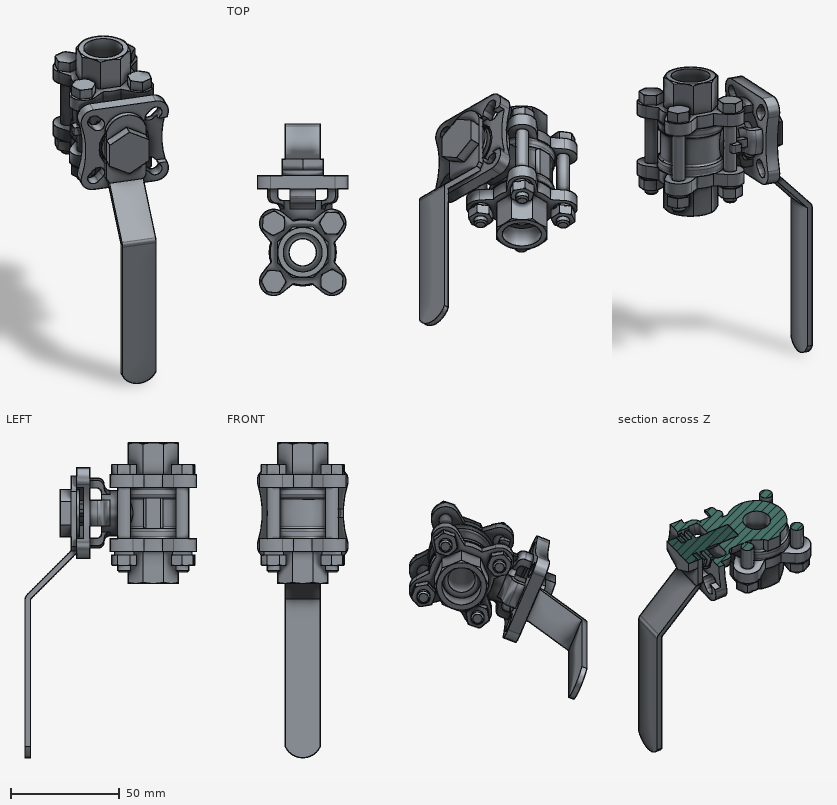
import cadquery as cq
import math


valve_length = 65.0
bore_diameter = 12.5
socket_diameter = 18.0
socket_depth = 10.0
octagon_flats = 23.2
octagon_end_radius = 11.5
octagon_chamfer_angle = 30.0

plate_inner_z = 11.75
plate_thickness = 6.0
plate_disc_radius = 15.0
plate_notch_half_width = 4.25
lug_radius = 6.5
bolt_offset = 13.45

barrel_radius = 14.1
barrel_half_length = 6.2
barrel_fillet = 0.9
collar_radius = 15.25
collar_chamfer_start_radius = barrel_radius + barrel_fillet
collar_start_z = barrel_half_length + barrel_fillet
collar_chamfer_end_z = 8.5
rim_start_z = 10.8
rim_radius = 15.5

label_pad_x = -15.0
label_pad_root_x = -13.0
label_pad_half_width = 3.3
label_pad_root_half_width = 4.8

bolt_diameter = 6.0
bolt_hex_flats = 10.0
bolt_hex_height = 4.8
bolt_hex_tilt = -2.5
bolt_hex_end_radius = 5.4
washer_diameter = 9.0
washer_thickness = 1.6
bolt_end_z = -27.2
bolt_end_chamfer = 0.8

neck_radius = 10.5
neck_face_y = 24.0
pad_y = 29.3
pad_thickness = 6.1
pad_outer_y = pad_y + pad_thickness
pad_half_size = 21.0
pad_corner_radius = 6.0
pad_waist = 18.75
pad_corner_offset = pad_half_size - pad_corner_radius
slot_width = 6.0
slot_inner_radius = 18.0
slot_outer_radius = 21.0
pad_hole_radius = 12.3
recess_half_width = 11.8
recess_depth = 3.1
recess_floor_y = pad_outer_y - recess_depth

arm_width = 12.0
arm_outer_radius = 16.2
arm_inner_radius = 13.0
arm_outer_bend = 3.0
arm_inner_bend = 2.0
arm_shoulder_y = 22.7
arm_foot_y = 20.05

tab_thickness = 4.0
tab_top_y = 22.5
tab_step_x = 13.6
tab_step_y = 16.5
tab_tip_x = 18.9
tab_tip_radius = 1.5
tab_root_x = 8.0
tab_root_y = 12.0

lever_thickness = 2.6
lever_width = 16.2
lever_outer_y = 59.26
lever_end_z = -112.96
lever_end_sagitta = 5.2
lever_bend_radius = 3.0
lever_bend_z = -17.4
lever_head_width = 19.0
lever_head_top_z = 17.2
lever_head_shoulder_z = 10.0
lever_head_bottom_z = -15.4

stem_radius = 4.5
stem_inner_y = 13.0
base_disc_radius = 11.4
base_disc_y = 30.3
gland_half_diagonal = 5.8
gland_top_y = 34.0
stop_disc_radius = 11.0
nut_flats = 19.0
nut_height = 5.0

lever_face_y = pad_outer_y + lever_thickness
plate_outer_z = plate_inner_z + plate_thickness
bolt_places = [
    (-bolt_offset, -bolt_offset, 0),
    (bolt_offset, -bolt_offset, 90),
    (bolt_offset, bolt_offset, 180),
    (-bolt_offset, bolt_offset, 270),
]


def plane_xz(y):
    """Sketch plane at y with local axes +X and +Z; negative extrusions go toward +Y."""
    return cq.Workplane(cq.Plane(origin=(0, y, 0), xDir=(1, 0, 0), normal=(0, -1, 0)))


def cylinder_y(radius, y0, y1):
    """Round bar about the stem axis from y0 to y1."""
    return plane_xz(y0).circle(radius).extrude(y0 - y1)


def make_barrel():
    """Barrel between the end plates, turned about Z and mirrored about z = 0."""
    arc_middle = barrel_fillet * math.sqrt(0.5)
    upper = (
        cq.Workplane("XZ")
        .lineTo(barrel_radius, 0)
        .lineTo(barrel_radius, barrel_half_length)
        .threePointArc(
            (barrel_radius + barrel_fillet - arc_middle, barrel_half_length + arc_middle),
            (collar_chamfer_start_radius, collar_start_z),
        )
        .lineTo(collar_radius, collar_chamfer_end_z)
        .lineTo(collar_radius, rim_start_z)
        .lineTo(rim_radius, plate_inner_z)
        .lineTo(0, plate_inner_z)
        .close()
        .revolve(360, (0, 0), (0, 1))
    )
    label_pad = (
        cq.Workplane("XY")
        .workplane(offset=-collar_start_z)
        .polyline([
            (label_pad_root_x, label_pad_root_half_width),
            (label_pad_x, label_pad_half_width),
            (label_pad_x, -label_pad_half_width),
            (label_pad_root_x, -label_pad_root_half_width),
        ])
        .close()
        .extrude(2 * collar_start_z)
    )
    return upper.union(upper.mirror("XY")).union(label_pad)


def lug_tangent_point():
    """Point on the (+X, +Y) lug where the flank from the disc meets it tangentially."""
    start_x = math.sqrt(plate_disc_radius**2 - plate_notch_half_width**2)
    dx = start_x - bolt_offset
    dy = plate_notch_half_width - bolt_offset
    angle = math.atan2(dy, dx) + math.acos(lug_radius / math.hypot(dx, dy))
    return (bolt_offset + lug_radius * math.cos(angle), bolt_offset + lug_radius * math.sin(angle))


def make_end_plate(z):
    """Round plate with four lugs on straight flanks."""
    disc_x = math.sqrt(plate_disc_radius**2 - plate_notch_half_width**2)
    tangent_x, tangent_y = lug_tangent_point()
    base = cq.Workplane("XY").workplane(offset=z)
    plate = base.circle(plate_disc_radius).extrude(plate_thickness)
    lug = (
        base.polyline([
            (0, 0),
            (disc_x, plate_notch_half_width),
            (tangent_x, tangent_y),
            (bolt_offset, bolt_offset),
            (tangent_y, tangent_x),
            (plate_notch_half_width, disc_x),
        ])
        .close()
        .extrude(plate_thickness)
        .union(base.center(bolt_offset, bolt_offset).circle(lug_radius).extrude(plate_thickness))
    )
    for angle in (0, 90, 180, 270):
        plate = plate.union(lug.rotate((0, 0, 0), (0, 0, 1), angle))
    return plate


def make_octagon_ends():
    """Octagonal bar over the full length, corners rounded off at both ends."""
    half_length = valve_length / 2
    across_corners = octagon_flats / math.cos(math.pi / 8)
    cone_middle_radius = octagon_end_radius + half_length / math.tan(math.radians(octagon_chamfer_angle))
    bar = (
        cq.Workplane("XY")
        .workplane(offset=-half_length)
        .polygon(8, across_corners)
        .extrude(valve_length)
        .rotate((0, 0, 0), (0, 0, 1), 22.5)
    )
    double_cone = (
        cq.Workplane("XZ")
        .moveTo(0, -half_length)
        .lineTo(octagon_end_radius, -half_length)
        .lineTo(cone_middle_radius, 0)
        .lineTo(octagon_end_radius, half_length)
        .lineTo(0, half_length)
        .close()
        .revolve(360, (0, 0), (0, 1))
    )
    return bar.intersect(double_cone)


def make_bolt_hexagon():
    """Bolt hexagon standing on z = 0 with its upper corners rounded off."""
    across_corners = bolt_hex_flats / math.cos(math.pi / 6)
    cone = (
        cq.Workplane("XZ")
        .lineTo(bolt_hex_end_radius + bolt_hex_height, 0)
        .lineTo(bolt_hex_end_radius, bolt_hex_height)
        .lineTo(0, bolt_hex_height)
        .close()
        .revolve(360, (0, 0), (0, 1))
    )
    return cq.Workplane("XY").polygon(6, across_corners).extrude(bolt_hex_height).intersect(cone)


def make_bolt():
    """Bolt on the Z axis: head above the upper plate, washer and nut below the lower one."""
    shank = (
        cq.Workplane("XY")
        .workplane(offset=bolt_end_z)
        .circle(bolt_diameter / 2)
        .extrude(plate_outer_z - bolt_end_z)
        .faces("<Z")
        .chamfer(bolt_end_chamfer)
    )
    washer = (
        cq.Workplane("XY")
        .workplane(offset=-plate_outer_z)
        .circle(washer_diameter / 2)
        .extrude(-washer_thickness)
    )
    head = make_bolt_hexagon().translate((0, 0, plate_outer_z))
    nut = make_bolt_hexagon().mirror("XY").translate((0, 0, -plate_outer_z - washer_thickness))
    return shank.union(washer).union(head).union(nut).rotate((0, 0, 0), (0, 0, 1), bolt_hex_tilt)


def make_arms():
    """Four bent arms from the neck to the pad, cut out of one turned bell."""
    inner_bend_y = neck_face_y + arm_inner_bend
    outer_bend_y = arm_shoulder_y + arm_outer_bend
    shoulder_radius = arm_outer_radius - arm_outer_bend
    foot_bend = arm_shoulder_y - arm_foot_y
    foot_radius = shoulder_radius - foot_bend
    diagonal = math.sqrt(0.5)
    bell = (
        cq.Workplane("XY")
        .moveTo(stem_radius, neck_face_y)
        .lineTo(arm_inner_radius - arm_inner_bend, neck_face_y)
        .threePointArc(
            (arm_inner_radius - arm_inner_bend * (1 - diagonal), inner_bend_y - arm_inner_bend * diagonal),
            (arm_inner_radius, inner_bend_y),
        )
        .lineTo(arm_inner_radius, pad_y)
        .lineTo(arm_outer_radius, pad_y)
        .lineTo(arm_outer_radius, outer_bend_y)
        .threePointArc(
            (shoulder_radius + arm_outer_bend * diagonal, outer_bend_y - arm_outer_bend * diagonal),
            (shoulder_radius, arm_shoulder_y),
        )
        .threePointArc(
            (shoulder_radius - foot_bend * diagonal, arm_foot_y + foot_bend * diagonal),
            (foot_radius, arm_foot_y),
        )
        .lineTo(stem_radius, arm_foot_y)
        .close()
        .revolve(360, (0, 0), (0, 1))
    )
    reach = 2 * pad_half_size
    cross = (
        plane_xz(0)
        .rect(reach, arm_width)
        .extrude(-pad_y)
        .union(plane_xz(0).rect(arm_width, reach).extrude(-pad_y))
    )
    return bell.intersect(cross)


def make_pad():
    """Square mounting pad: waisted sides, diagonal slots, round hole and a recess open at -X."""
    corner = pad_corner_offset
    gap = corner + pad_corner_radius - pad_waist
    waist_radius = (corner**2 + (pad_waist - corner)**2 - pad_corner_radius**2) / (2 * gap)
    waist_centre = pad_waist + waist_radius
    share = pad_corner_radius / (pad_corner_radius + waist_radius)
    touch_x = corner + share * (waist_centre - corner)
    touch_z = corner * (1 - share)
    bulge = pad_corner_radius * math.sqrt(0.5)
    pad = (
        plane_xz(pad_y)
        .moveTo(-corner, pad_half_size)
        .lineTo(corner, pad_half_size)
        .threePointArc((corner + bulge, corner + bulge), (touch_x, touch_z))
        .threePointArc((pad_waist, 0), (touch_x, -touch_z))
        .threePointArc((corner + bulge, -corner - bulge), (corner, -pad_half_size))
        .lineTo(-corner, -pad_half_size)
        .threePointArc((-corner - bulge, -corner - bulge), (-touch_x, -touch_z))
        .threePointArc((-pad_waist, 0), (-touch_x, touch_z))
        .threePointArc((-corner - bulge, corner + bulge), (-corner, pad_half_size))
        .close()
        .extrude(-pad_thickness)
    )
    slot_centre = (slot_inner_radius + slot_outer_radius) / 2
    slot_length = slot_outer_radius - slot_inner_radius + slot_width
    for angle in (45, 135, 225, 315):
        slot = (
            plane_xz(pad_y)
            .center(slot_centre, 0)
            .slot2D(slot_length, slot_width)
            .extrude(-pad_thickness)
            .rotate((0, 0, 0), (0, 1, 0), angle)
        )
        pad = pad.cut(slot)
    side_opening = (
        plane_xz(recess_floor_y)
        .center(-pad_half_size / 2, 0)
        .rect(pad_half_size, 2 * recess_half_width)
        .extrude(-recess_depth)
    )
    return pad.cut(cylinder_y(pad_hole_radius, pad_y, pad_outer_y)).cut(side_opening)


def make_side_tab():
    """Thin stepped tab on the +X side of the neck."""
    tip_bulge = tab_tip_radius * math.sqrt(0.5)
    return (
        cq.Workplane("XY")
        .workplane(offset=-tab_thickness / 2)
        .moveTo(tab_root_x, tab_root_y)
        .lineTo(tab_root_x, tab_top_y)
        .lineTo(tab_step_x, tab_top_y)
        .lineTo(tab_step_x, tab_step_y)
        .lineTo(tab_tip_x, tab_step_y)
        .lineTo(tab_tip_x, tab_root_y + tab_tip_radius)
        .threePointArc(
            (tab_tip_x - tab_tip_radius + tip_bulge, tab_root_y + tab_tip_radius - tip_bulge),
            (tab_tip_x - tab_tip_radius, tab_root_y),
        )
        .close()
        .extrude(tab_thickness)
    )


def make_valve():
    """Barrel, ends, bolts, neck and pad as one solid, with the bore, sockets and stem hole."""
    valve = make_barrel().union(make_octagon_ends())
    valve = valve.union(make_end_plate(plate_inner_z)).union(make_end_plate(-plate_outer_z))
    valve = valve.union(cylinder_y(neck_radius, 0, neck_face_y))
    valve = valve.union(make_arms()).union(make_pad()).union(make_side_tab())
    bolt = make_bolt()
    for x, y, angle in bolt_places:
        valve = valve.union(bolt.rotate((0, 0, 0), (0, 0, 1), angle).translate((x, y, 0)))
    valve = valve.cut(cq.Workplane("XY").circle(bore_diameter / 2).extrude(valve_length / 2, both=True))
    for end in (-1, 1):
        socket = (
            cq.Workplane("XY")
            .workplane(offset=end * valve_length / 2)
            .circle(socket_diameter / 2)
            .extrude(-end * socket_depth)
        )
        valve = valve.cut(socket)
    return valve.cut(cylinder_y(stem_radius, stem_inner_y, pad_outer_y))


def make_lever():
    """Cranked strip: flat head on the pad, 45 degree crank, straight grip."""
    run = lever_outer_y - lever_face_y
    inner_shift = lever_thickness * math.tan(math.pi / 8)
    strip_profile = [
        (pad_outer_y, 0),
        (lever_face_y, 0),
        (lever_face_y, lever_bend_z),
        (lever_outer_y, lever_bend_z - run),
        (lever_outer_y, lever_end_z),
        (lever_outer_y - lever_thickness, lever_end_z),
        (lever_outer_y - lever_thickness, lever_bend_z - run - inner_shift),
        (pad_outer_y, lever_bend_z - inner_shift),
    ]
    half_width = lever_width / 2
    strip = (
        cq.Workplane("YZ")
        .workplane(offset=-half_width)
        .polyline(strip_profile)
        .close()
        .extrude(lever_width)
        .edges(cq.selectors.NearestToPointSelector((0, lever_outer_y, lever_bend_z - run)))
        .fillet(lever_bend_radius)
    )
    round_end_outline = (
        plane_xz(0)
        .moveTo(-half_width, 0)
        .lineTo(-half_width, lever_end_z + lever_end_sagitta)
        .threePointArc((0, lever_end_z), (half_width, lever_end_z + lever_end_sagitta))
        .lineTo(half_width, 0)
        .close()
        .extrude(-lever_outer_y)
    )
    half_head = lever_head_width / 2
    head = (
        plane_xz(pad_outer_y)
        .moveTo(-half_head, lever_head_shoulder_z)
        .threePointArc((0, lever_head_top_z), (half_head, lever_head_shoulder_z))
        .lineTo(half_head, lever_head_bottom_z)
        .lineTo(half_width, lever_bend_z)
        .lineTo(-half_width, lever_bend_z)
        .lineTo(-half_head, lever_head_bottom_z)
        .close()
        .extrude(-lever_thickness)
    )
    lever = strip.intersect(round_end_outline).union(head)
    return lever.cut(cylinder_y(stem_radius, pad_outer_y, lever_face_y))


def make_stem():
    """Stem rod: two discs and a square gland inside the pad, and a hexagon on the lever."""
    rod = cylinder_y(stem_radius, stem_inner_y, lever_face_y)
    base_disc = cylinder_y(base_disc_radius, base_disc_y, recess_floor_y)
    gland = plane_xz(recess_floor_y).polygon(4, 2 * gland_half_diagonal).extrude(recess_floor_y - gland_top_y)
    stop_disc = cylinder_y(stop_disc_radius, gland_top_y, pad_outer_y)
    hexagon = (
        plane_xz(lever_face_y)
        .polygon(6, nut_flats / math.cos(math.pi / 6))
        .extrude(-nut_height)
        .rotate((0, 0, 0), (0, 1, 0), 30)
    )
    return rod.union(base_disc).union(gland).union(stop_disc).union(hexagon)


valve = make_valve()
lever = make_lever()
stem = make_stem()

result = cq.Compound.makeCompound([valve.val(), lever.val(), stem.val()])